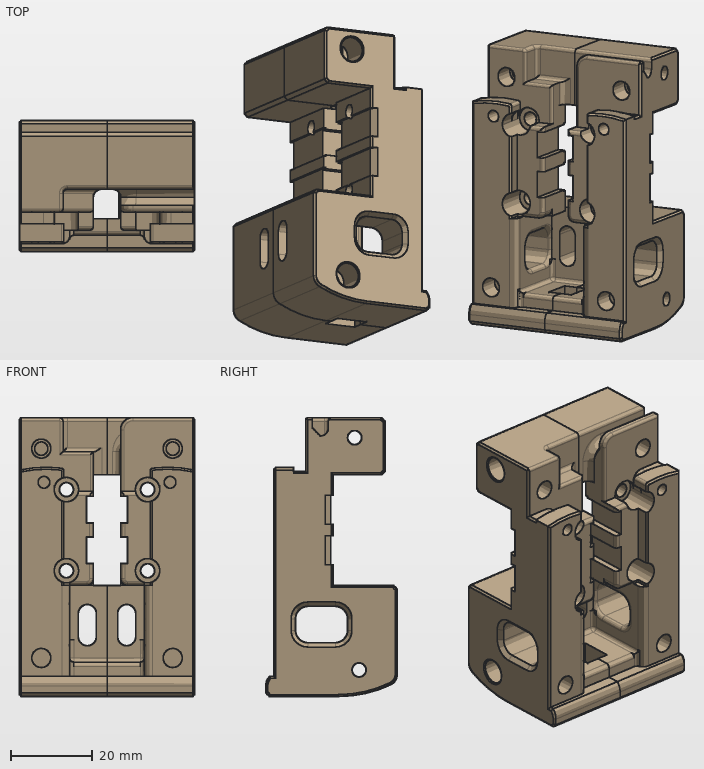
import cadquery as cq
import math


half_width = 21.6
height = 68.75
lip_y = -2.0
back_y = 30.4
side_chamfer = 0.5
back_chamfer = 0.9
margin = 5.0

lip_top_z = 5.0
lip_round_y = -1.0
lip_round_z = 2.6
lip_round_mid = (-1.71, 4.0)
lip_bottom_chamfer = 0.9
pad_shoulder_z = 55.5
block_front_y = 7.8
block_back_y = 27.4
block_bottom_z = 54.6
neck_back_y = 14.6
base_top_z = 27.4
base_sweep_radius = 30.0
base_sweep_y = 15.9
base_corner_radius = 2.9

pad_inner_x = 10.6
pad_depth = 4.85
pad_peak_z = 56.5
pad_side_z = 55.8
pad_inner_top_z = 56.2
pad_edge = 0.5
pad_corner_round = 0.8
strip_round = 2.7

recess_y = 3.3
shelf_z = 50.6
opening_half_width = 3.35
neck_round = 1.0
neck_corner_round = 1.7

slot_half_width = 5.0
slot_height = 6.5
slot_centers_z = (46.05, 36.05)
strap_groove_depth = 0.55
strap_groove_chamfer = 1.35
strap_groove_flare = 0.35

chamber_half_width = 9.2
chamber_back_y = 18.3
chamber_floor_z = 8.5
chamber_round = 1.0
chamber_corner_top_z = 14.0
chamber_mouth_round = 1.9
floor_front_y = 2.05
floor_front_round = 1.05
back_slot_x = 4.85
back_slot_width = 4.4
back_slot_height = 10.1
back_slot_z = 17.6

floor_hole_front_y = 6.2
floor_hole_back_y = 14.3
left_floor_hole_x = 3.4
right_floor_hole_x = 2.95

window_center = (11.75, 17.75)
window_size = (12.75, 8.9)
window_round = 3.0
window_edge = 1.1

carriage_hole_x = 10.0
carriage_hole_z = (31.0, 51.0)
carriage_hole_diameter = 3.4
carriage_bore_diameter = 6.0
carriage_bore_floor_y = 8.8
insert_x = 16.2
insert_lower_z = 9.5
insert_upper_z = 61.1
insert_diameter = 4.7
insert_depth = 6.0
insert_pilot_diameter = 3.3
insert_pilot_depth = 8.5
pad_hole_x = 15.55
pad_hole_z = 52.8
pad_hole_diameter = 2.9
pad_hole_depth = 6.0
clamp_holes = ((19.9, 63.8), (21.0, 6.55))
clamp_hole_diameter = 3.4
clamp_bore_diameter = 6.0
clamp_bore_chamfer = 0.3
clamp_bore_depth = 8.0
bridge_layer = 0.3

passage_back_y = 13.4
passage_edge = 0.75
passage_top_edge = 0.95
left_recess_x = 10.84
left_recess_z = 60.35
left_recess_round = 1.0
left_channel_round = 2.0
right_channel_round = 2.0
channel_front_y = 9.5
channel_floor_z = 64.2
channel_chamfer = 1.95
channel_bend_radius = 3.8
plate_corner_round = 3.0
rim_reach = 0.8


def block(x0, x1, y0, y1, z0, z1):
    """Box given by its limits along each axis."""
    return cq.Workplane("XY").box(x1 - x0, y1 - y0, z1 - z0, centered=False).translate((x0, y0, z0))


def hole_y(x, z, diameter, y0, y1):
    """Cylinder along +Y."""
    return cq.Workplane("XZ", origin=(x, y0, z)).circle(diameter / 2).extrude(-(y1 - y0))


def hole_x(y, z, diameter, x0, x1):
    """Cylinder along +X."""
    return cq.Workplane("YZ", origin=(x0, y, z)).circle(diameter / 2).extrude(x1 - x0)


def near(point, reach=0.1):
    """Selector for edges whose center lies close to a point."""
    low = tuple(c - reach for c in point)
    high = tuple(c + reach for c in point)
    return cq.selectors.BoxSelector(low, high)


def side_body():
    """Half block from its side outline, chamfered around the outer face."""
    big_r = base_sweep_radius
    small_r = base_corner_radius
    corner_y = back_y - small_r
    corner_z = big_r - math.sqrt((big_r - small_r) ** 2 - (corner_y - base_sweep_y) ** 2)
    angle = math.atan2(corner_y - base_sweep_y, big_r - corner_z)
    sweep_start = (base_sweep_y + big_r * math.sin(angle), big_r - big_r * math.cos(angle))
    sweep_mid = (base_sweep_y + big_r * math.sin(angle / 2), big_r - big_r * math.cos(angle / 2))
    mid_angle = (angle + math.pi / 2) / 2
    corner_mid = (corner_y + small_r * math.sin(mid_angle), corner_z - small_r * math.cos(mid_angle))
    body = (
        cq.Workplane("YZ")
        .moveTo(lip_y + lip_bottom_chamfer, 0)
        .lineTo(lip_y, lip_bottom_chamfer)
        .lineTo(lip_y, lip_round_z)
        .threePointArc(lip_round_mid, (lip_round_y, lip_top_z))
        .lineTo(0, lip_top_z)
        .lineTo(0, pad_shoulder_z)
        .lineTo(block_front_y, pad_shoulder_z)
        .lineTo(block_front_y, height)
        .lineTo(block_back_y, height)
        .lineTo(block_back_y, block_bottom_z)
        .lineTo(neck_back_y, block_bottom_z)
        .lineTo(neck_back_y, base_top_z)
        .lineTo(back_y, base_top_z)
        .lineTo(back_y, corner_z)
        .threePointArc(corner_mid, sweep_start)
        .threePointArc(sweep_mid, (base_sweep_y, 0))
        .close()
        .extrude(half_width)
    )
    long_edges = (
        (block_back_y, height),
        (block_back_y, block_bottom_z),
        (back_y, base_top_z),
    )
    for y, z in long_edges:
        body = body.edges(near((half_width / 2, y, z))).chamfer(back_chamfer)
    return body.faces(">X").edges().chamfer(side_chamfer)


def pad_crown():
    """Arched top of the front pad."""
    peak_x = (pad_inner_x + half_width) / 2
    crown = (
        cq.Workplane("XZ")
        .moveTo(pad_inner_x, shelf_z)
        .lineTo(pad_inner_x, pad_inner_top_z)
        .threePointArc((peak_x, pad_peak_z), (half_width, pad_side_z))
        .lineTo(half_width, shelf_z)
        .close()
        .extrude(-pad_depth)
    )
    outer_front = near((half_width, 0, (shelf_z + pad_side_z) / 2))
    crown = crown.edges(outer_front).chamfer(side_chamfer)
    inner_top = near((pad_inner_x, pad_depth / 2, pad_inner_top_z))
    return crown.edges(inner_top).fillet(pad_corner_round)


def middle_recess():
    """Cutter that clears the space between the pads, down to the neck and the block face."""
    lower = block(-1, pad_inner_x, lip_y, recess_y, base_top_z, shelf_z)
    upper = block(-1, pad_inner_x, lip_y, block_front_y, shelf_z, height + margin)
    wall_x = carriage_hole_x + carriage_bore_diameter / 2
    corner_x = wall_x + strip_round
    corner_z = pad_shoulder_z - strip_round
    room = block(pad_inner_x, corner_x, pad_depth, block_front_y, carriage_hole_z[1], pad_shoulder_z)
    keep = block(wall_x, corner_x, pad_depth, block_front_y, carriage_hole_z[1], corner_z)
    keep = keep.union(hole_y(corner_x, corner_z, 2 * strip_round, pad_depth, block_front_y))
    corner = room.cut(keep)
    neck_room = block(-1, chamber_half_width, lip_y, block_front_y, base_top_z, shelf_z)
    return lower.union(upper).union(corner).union(neck_room)


def neck_front():
    """Front slab of the neck, rounded along the shelf, the opening and the lower end."""
    slab = block(opening_half_width, chamber_half_width, recess_y, block_front_y, base_top_z, shelf_z)
    slab = slab.edges("|Y and <X and <Z").fillet(neck_corner_round)
    return slab.faces("<Y").edges("not >X").fillet(neck_round)


def strap_slots():
    """Cutter for the slots that lead two straps around the neck."""
    cutter = None
    for z in slot_centers_z:
        low = z - slot_height / 2
        slot = block(-1, slot_half_width, 0, neck_back_y + margin, low, low + slot_height)
        groove_y = neck_back_y - strap_groove_depth
        groove = (
            cq.Workplane("XY", origin=(0, 0, low - strap_groove_flare))
            .moveTo(0, groove_y)
            .lineTo(half_width - strap_groove_chamfer, groove_y)
            .lineTo(half_width, groove_y - strap_groove_chamfer)
            .lineTo(half_width + margin, groove_y - strap_groove_chamfer)
            .lineTo(half_width + margin, neck_back_y + margin)
            .lineTo(0, neck_back_y + margin)
            .close()
            .extrude(slot_height + 2 * strap_groove_flare)
        )
        both = slot.union(groove)
        cutter = both if cutter is None else cutter.union(both)
    return cutter


def chamber():
    """Cutter for the lower chamber and its stepped front mouth, rounded over the floor edge."""
    half_x = chamber_half_width
    front_y = lip_y - margin
    lower = block(-half_x, half_x, front_y, chamber_back_y, chamber_floor_z, chamber_corner_top_z)
    lower = lower.edges("|Z and >Y").fillet(chamber_round)
    lower = lower.faces("<Z").edges("not <Y").fillet(chamber_round)
    upper = block(-half_x, half_x, front_y, chamber_back_y, chamber_corner_top_z, base_top_z)
    mouth = block(-half_x, half_x, front_y, floor_front_y, lip_top_z, chamber_floor_z + chamber_round)
    mouth = mouth.edges("|Z and >Y").fillet(chamber_round)
    r = floor_front_round
    round_y = floor_front_y + r
    round_z = chamber_floor_z - r
    edge = block(0, half_x - chamber_round, floor_front_y, round_y, round_z, chamber_floor_z)
    edge = edge.cut(hole_x(round_y, round_z, 2 * r, 0, half_x))
    return lower.union(upper).union(mouth).union(edge)


def mouth_flare():
    """Cutter that rounds the pad edge beside the chamber mouth."""
    x = chamber_half_width
    r = chamber_mouth_round
    z0 = lip_top_z
    flare = block(x, x + r, 0, r, z0, base_top_z)
    post = cq.Workplane("XY", origin=(x + r, r, z0)).circle(r).extrude(base_top_z - z0)
    return flare.cut(post)


def window():
    """Cutter for the side window, chamfered at its outer rim and rounded at its inner rim."""
    y, z = window_center
    reach_y = window_size[0] / 2 + 2 * window_edge
    reach_z = window_size[1] / 2 + 2 * window_edge
    wall = block(chamber_half_width, half_width, y - reach_y, y + reach_y, z - reach_z, z + reach_z)
    shaft = cq.Workplane("YZ", origin=(0, y, z)).rect(*window_size).extrude(half_width)
    shaft = shaft.edges("|X").fillet(window_round)
    rim = cq.selectors.BoxSelector(
        (0, y - reach_y + window_edge, z - reach_z + window_edge),
        (half_width + 1, y + reach_y - window_edge, z + reach_z - window_edge),
    )
    pierced = wall.cut(shaft)
    pierced = pierced.faces(">X").edges(rim).chamfer(window_edge)
    pierced = pierced.faces("<X").edges(rim).fillet(window_edge)
    return shaft.union(wall.cut(pierced))


def front_hole_cutter():
    """Carriage screw holes, insert pockets and the small pad hole, all bored from the front."""
    cutter = hole_y(pad_hole_x, pad_hole_z, pad_hole_diameter, lip_y, pad_hole_depth)
    for z in carriage_hole_z:
        cutter = cutter.union(hole_y(carriage_hole_x, z, carriage_hole_diameter, lip_y, back_y))
        cutter = cutter.union(hole_y(carriage_hole_x, z, carriage_bore_diameter, lip_y, carriage_bore_floor_y))
    cutter = cutter.union(hole_y(insert_x, insert_lower_z, insert_diameter, lip_y, insert_depth))
    upper_floor = block_front_y + insert_depth
    cutter = cutter.union(hole_y(insert_x, insert_upper_z, insert_diameter, 0, upper_floor))
    pilot_end = block_front_y + insert_pilot_depth
    return cutter.union(hole_y(insert_x, insert_upper_z, insert_pilot_diameter, 0, pilot_end))


def clamp_hole_cutter():
    """Cross holes for the two screws that clamp the halves together."""
    cutter = None
    for y, z in clamp_holes:
        hole = hole_x(y, z, clamp_hole_diameter, -margin, half_width + margin)
        cutter = hole if cutter is None else cutter.union(hole)
    return cutter


def clamp_bore_cutter():
    """Screw head bores, the upper one ending in two crossed bridging layers."""
    floor_x = half_width - clamp_bore_depth
    cutter = None
    for y, z in clamp_holes:
        bore = hole_x(y, z, clamp_bore_diameter, floor_x, half_width + margin)
        rim = cq.Workplane("YZ", origin=(half_width, y, z)).circle(clamp_bore_diameter / 2 + clamp_bore_chamfer)
        bore = bore.union(rim.extrude(-clamp_bore_chamfer, taper=45))
        cutter = bore if cutter is None else cutter.union(bore)
    y, z = clamp_holes[0]
    r = clamp_hole_diameter / 2
    bore_r = clamp_bore_diameter / 2
    slit = block(floor_x - bridge_layer, floor_x, y - r, y + r, z - bore_r, z + bore_r)
    slit = slit.intersect(hole_x(y, z, clamp_bore_diameter, floor_x - bridge_layer, floor_x))
    square = block(floor_x - 2 * bridge_layer, floor_x, y - r, y + r, z - r, z + r)
    return cutter.union(slit).union(square)


def half(floor_hole_x):
    """Everything the two halves share, built on the +X side."""
    body = side_body().cut(middle_recess()).union(pad_crown())
    opening = block(-1, opening_half_width, lip_y, neck_back_y + margin, base_top_z, block_bottom_z)
    body = body.cut(opening).cut(chamber()).union(neck_front())
    pad_front_edges = cq.selectors.BoxSelector(
        (pad_inner_x - 0.1, -0.1, shelf_z - 0.1 - 20), (half_width - 1, 0.1, pad_peak_z + 0.1)
    )
    body = body.edges(pad_front_edges).chamfer(pad_edge)
    body = body.cut(mouth_flare()).cut(strap_slots()).cut(window())
    back_slot = (
        cq.Workplane("XZ", origin=(back_slot_x, 0, back_slot_z))
        .slot2D(back_slot_height, back_slot_width, 90)
        .extrude(-(back_y + margin))
    )
    floor_hole = block(
        -1, floor_hole_x, floor_hole_front_y, floor_hole_back_y, -margin, chamber_floor_z + chamber_round
    )
    body = body.cut(back_slot).cut(floor_hole)
    return body.cut(front_hole_cutter()).cut(clamp_hole_cutter())


def left_passage():
    """Cutter for the stepped cable passage of the left half, drawn on the +X side."""
    top_z = height + margin
    recess = block(-margin, left_recess_x, 0, passage_back_y, left_recess_z, top_z)
    recess = recess.edges(">Y and (>X or <Z)").fillet(left_recess_round)
    channel = block(-margin, opening_half_width, 0, passage_back_y, shelf_z, top_z)
    channel = channel.edges("|Z and >Y and >X").fillet(left_channel_round)
    return recess.union(channel)


def right_passage():
    """Cutter for the cable channel that turns outward behind the plate of the right half."""
    top_z = height + margin
    end_x = half_width + margin
    r = channel_bend_radius
    bend = r * (1 - math.sqrt(0.5))
    channel = (
        cq.Workplane("XZ", origin=(0, channel_front_y, 0))
        .moveTo(-margin, shelf_z)
        .lineTo(opening_half_width, shelf_z)
        .lineTo(opening_half_width, channel_floor_z - r)
        .threePointArc(
            (opening_half_width + bend, channel_floor_z - bend),
            (opening_half_width + r, channel_floor_z),
        )
        .lineTo(end_x, channel_floor_z)
        .lineTo(end_x, top_z)
        .lineTo(-margin, top_z)
        .close()
        .extrude(-(passage_back_y - channel_front_y))
    )
    wall_point = (opening_half_width, passage_back_y, (shelf_z + channel_floor_z - r) / 2)
    channel = channel.edges(near(wall_point)).fillet(right_channel_round)
    floor_point = ((opening_half_width + r + end_x) / 2, channel_front_y, channel_floor_z)
    channel = channel.edges(near(floor_point)).chamfer(channel_chamfer)
    front = block(-margin, opening_half_width, 0, passage_back_y - right_channel_round, shelf_z, top_z)
    r = plate_corner_round
    corner_x = opening_half_width + r
    corner_z = height - r
    corner = block(opening_half_width, corner_x, 0, channel_front_y, corner_z, height)
    corner = corner.cut(hole_y(corner_x, corner_z, 2 * r, 0, channel_front_y))
    return channel.union(front).union(corner)


def round_rims(body, points, radius):
    """Rounds the edges centered near the given points."""
    rims = [edge for point in points for edge in body.edges(near(point, rim_reach)).vals()]
    return body.newObject(rims).fillet(radius)


def left_half():
    """Half on the -X side, with the stepped passage and the screw head bores."""
    y = block_front_y
    z = (left_recess_z + height) / 2
    face_rims = (
        (opening_half_width, y, (shelf_z + left_recess_z) / 2),
        ((opening_half_width + left_recess_x) / 2, y, left_recess_z),
        (left_recess_x, y, z),
        ((left_recess_x + half_width) / 2, y, height),
    )
    top_rims = (
        (left_recess_x / 2, passage_back_y, height),
        (left_recess_x, (block_front_y + passage_back_y) / 2, height),
    )
    body = half(left_floor_hole_x).cut(left_passage())
    body = round_rims(body, top_rims, passage_top_edge)
    body = round_rims(body, face_rims, passage_edge)
    return body.cut(clamp_bore_cutter()).mirror("YZ")


def right_half():
    """Half on the +X side, with the channel behind its plate."""
    y = block_front_y
    face_rims = (
        (opening_half_width, y, (shelf_z + height - plate_corner_round) / 2),
        (opening_half_width + plate_corner_round / 3, y, height - plate_corner_round / 3),
        ((opening_half_width + plate_corner_round + half_width) / 2, y, height),
    )
    top_rims = ((half_width / 2, passage_back_y, height),)
    body = half(right_floor_hole_x).cut(right_passage())
    body = round_rims(body, top_rims, passage_top_edge)
    return round_rims(body, face_rims, passage_edge)


left = left_half()
right = right_half()
result = cq.Compound.makeCompound([left.val(), right.val()])